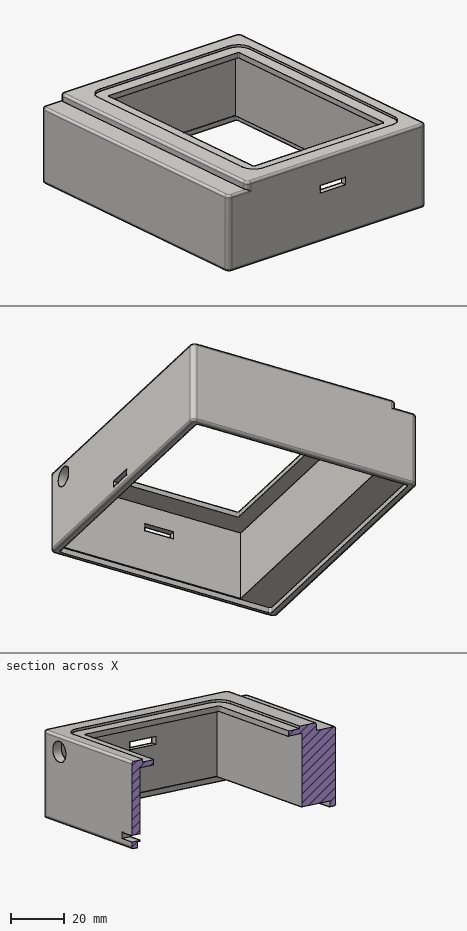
import cadquery as cq

LENGTH = 109.0
WIDTH = 96.0
HEIGHT = 34.0
CORNER_RADIUS = 2.0
EDGE_FILLET = 1.0

STEP_WIDTH = 9.0
STEP_DROP = 3.0

WINDOW_LENGTH = 85.0
WINDOW_WIDTH = 63.3
WINDOW_Y = 6.0
WINDOW_RADIUS = 0.5
RECESS_MARGIN = 5.1
RECESS_DEPTH = 1.0
LIP_THICKNESS = 2.2

SIDE_WALL = 2.5
BACK_WALL = 4.0

COVER_SIDE_WALL = 2.0
COVER_END_WALL = 2.8
COVER_DEPTH = 2.3
COVER_RADIUS = 1.0

BACK_SLOT_LENGTH = 10.0
BACK_SLOT_HEIGHT = 2.4
BACK_SLOT_X = 1.0
BACK_SLOT_SILL = 0.5
JACK_DIAMETER = 8.1
JACK_X = 44.3
JACK_Z = 10.7

SIDE_SLOT_LENGTH = 12.2
SIDE_SLOT_HEIGHT = 3.0
SIDE_SLOT_Y = 2.8
SIDE_SLOT_FLOOR_Z = 2.8

top_z = HEIGHT / 2
bottom_z = -HEIGHT / 2
back_y = WIDTH / 2
side_x = LENGTH / 2
cavity_length = LENGTH - 2 * SIDE_WALL
cavity_width = 2 * (back_y - BACK_WALL - WINDOW_Y)
cavity_top_z = top_z - RECESS_DEPTH - LIP_THICKNESS
cover_seat_z = bottom_z + COVER_DEPTH


def block(length, width, low_z, high_z, centre_x=0.0, centre_y=0.0):
    """Upright box between two heights."""
    return (
        cq.Workplane("XY", origin=(centre_x, centre_y, low_z))
        .rect(length, width)
        .extrude(high_z - low_z)
    )


def outer_body():
    upper_width = WIDTH - STEP_WIDTH
    step_z = top_z - STEP_DROP
    lower = block(LENGTH, WIDTH, bottom_z, step_z)
    lower = lower.edges("|Z").fillet(CORNER_RADIUS)
    lower = lower.faces("<Z or >Z").edges().fillet(EDGE_FILLET)

    upper_low_z = step_z - EDGE_FILLET
    upper = block(LENGTH, upper_width, upper_low_z, top_z, centre_y=STEP_WIDTH / 2)
    upper = upper.edges("|Z").fillet(CORNER_RADIUS)
    upper = upper.faces(">Z").edges().fillet(EDGE_FILLET)
    return lower.union(upper)


def window_cuts():
    recess = block(
        WINDOW_LENGTH + 2 * RECESS_MARGIN,
        WINDOW_WIDTH + 2 * RECESS_MARGIN,
        top_z - RECESS_DEPTH,
        top_z,
        centre_y=WINDOW_Y,
    )
    recess = recess.edges("|Z").fillet(WINDOW_RADIUS + RECESS_MARGIN)
    window = block(WINDOW_LENGTH, WINDOW_WIDTH, bottom_z, top_z, centre_y=WINDOW_Y)
    return recess.union(window.edges("|Z").fillet(WINDOW_RADIUS))


def inner_cuts():
    cavity = block(cavity_length, cavity_width, bottom_z, cavity_top_z, centre_y=WINDOW_Y)
    cover_seat = block(
        LENGTH - 2 * COVER_SIDE_WALL,
        WIDTH - 2 * COVER_END_WALL,
        bottom_z,
        cover_seat_z,
    )
    return cavity.union(cover_seat.edges("|Z").fillet(COVER_RADIUS))


def back_openings():
    slot_low_z = cover_seat_z + BACK_SLOT_SILL
    slot = block(
        BACK_SLOT_LENGTH,
        2 * BACK_WALL,
        slot_low_z,
        slot_low_z + BACK_SLOT_HEIGHT,
        BACK_SLOT_X,
        back_y,
    )
    jack = (
        cq.Workplane("XZ", origin=(JACK_X, back_y, JACK_Z))
        .circle(JACK_DIAMETER / 2)
        .extrude(BACK_WALL)
    )
    return slot.union(jack)


def side_opening():
    return block(
        2 * SIDE_WALL,
        SIDE_SLOT_LENGTH,
        SIDE_SLOT_FLOOR_Z,
        SIDE_SLOT_FLOOR_Z + SIDE_SLOT_HEIGHT,
        side_x,
        SIDE_SLOT_Y,
    )


result = outer_body()
for cut in (window_cuts(), inner_cuts(), back_openings(), side_opening()):
    result = result.cut(cut)